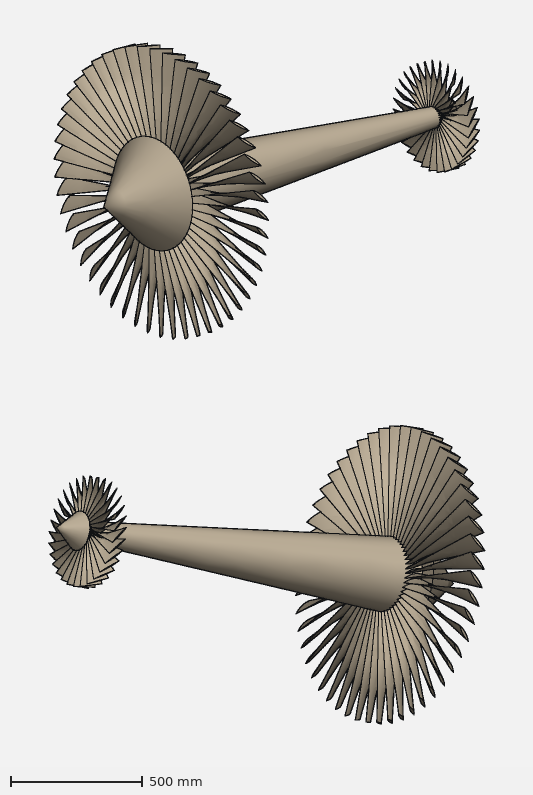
import cadquery as cq
OVERALL_LENGTH = 1867.61
NOSE_LENGTH = 255.0
NOSE_RADIUS = 223.0
TAIL_LENGTH = 103.0
TAIL_RADIUS = 76.0
SHAFT_LENGTH = OVERALL_LENGTH - NOSE_LENGTH - TAIL_LENGTH
SHAFT_FRONT_RADIUS = 150.0
SHAFT_REAR_RADIUS = 37.5
ROOT_OVERLAP = 12.0

FRONT_BLADES = 50
FRONT_FIRST_ANGLE = 0.0
FRONT_TIP_RADIUS = 567.755
FRONT_CENTER = 43.0
FRONT_TIP_DEPTH = 64.0
FRONT_ROOT_DEPTH = 64.0
FRONT_TIP_SKEW = 59.7
FRONT_ROOT_SKEW = -28.0
FRONT_THICKNESS = 12.0

REAR_BLADES = 30
REAR_FIRST_ANGLE = 6.0
REAR_TIP_RADIUS = 210.5
REAR_CENTER = 1465.5
REAR_TIP_DEPTH = 57.0
REAR_ROOT_DEPTH = 45.0
REAR_TIP_SKEW = -64.0
REAR_ROOT_SKEW = 28.0
REAR_THICKNESS = 5.0


def shaft_radius(y):
    """Radius of the tapered shaft at position y."""
    taper = (SHAFT_FRONT_RADIUS - SHAFT_REAR_RADIUS) / SHAFT_LENGTH
    return SHAFT_FRONT_RADIUS - taper * y


def make_body():
    """Nose cone, tapered shaft and tail cone as one revolved profile."""
    profile = [
        (0, -NOSE_LENGTH),
        (NOSE_RADIUS, 0),
        (SHAFT_FRONT_RADIUS, 0),
        (SHAFT_REAR_RADIUS, SHAFT_LENGTH),
        (TAIL_RADIUS, SHAFT_LENGTH),
        (0, SHAFT_LENGTH + TAIL_LENGTH),
    ]
    return cq.Workplane("XY").polyline(profile).close().revolve(360, (0, 0, 0), (0, 1, 0))


def blade_section(radius, center, depth, skew, thickness):
    """Biconvex wire with sharp ends at Z = radius; skew is its X shift from front to back."""
    front = cq.Vector(-skew / 2, center - depth / 2, radius)
    back = cq.Vector(skew / 2, center + depth / 2, radius)
    middle = (front + back) / 2
    chord = back - front
    bulge = cq.Vector(chord.y, -chord.x, 0).normalized() * (thickness / 2)
    right_side = cq.Edge.makeThreePointArc(front, middle + bulge, back)
    left_side = cq.Edge.makeThreePointArc(back, middle - bulge, front)
    return cq.Wire.assembleEdges([right_side, left_side])


def make_fan(
    count, tip_radius, center, tip_depth, root_depth,
    tip_skew, root_skew, thickness, first_angle,
):
    """Ring of twisted blades around the Y axis, the first one at first_angle from +Z."""
    root_radius = shaft_radius(center + root_depth / 2) - ROOT_OVERLAP
    root = blade_section(root_radius, center, root_depth, root_skew, thickness)
    tip = blade_section(tip_radius, center, tip_depth, tip_skew, thickness)
    blade = cq.Solid.makeLoft([root, tip], True)
    pitch = 360 / count
    axis_start = cq.Vector(0, 0, 0)
    axis_end = cq.Vector(0, 1, 0)
    return [blade.rotate(axis_start, axis_end, first_angle + i * pitch) for i in range(count)]


body = make_body().val()
front_fan = make_fan(
    FRONT_BLADES, FRONT_TIP_RADIUS, FRONT_CENTER, FRONT_TIP_DEPTH, FRONT_ROOT_DEPTH,
    FRONT_TIP_SKEW, FRONT_ROOT_SKEW, FRONT_THICKNESS, FRONT_FIRST_ANGLE,
)
rear_fan = make_fan(
    REAR_BLADES, REAR_TIP_RADIUS, REAR_CENTER, REAR_TIP_DEPTH, REAR_ROOT_DEPTH,
    REAR_TIP_SKEW, REAR_ROOT_SKEW, REAR_THICKNESS, REAR_FIRST_ANGLE,
)
result = cq.Workplane("XY").newObject([body.fuse(*front_fan, *rear_fan)])